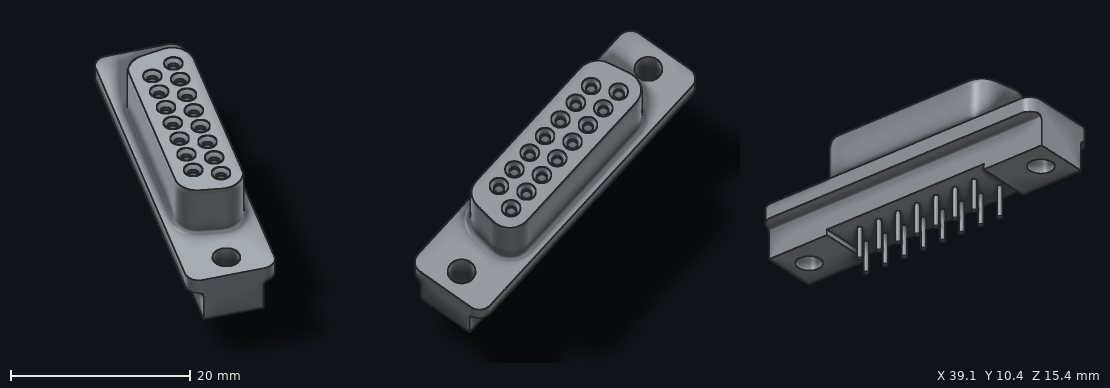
import cadquery as cq
import math

FLANGE_LENGTH = 39.14
FLANGE_WIDTH = 10.41
FLANGE_THICKNESS = 1.9
FLANGE_CORNER_RADIUS = 1.6
MOUNT_HOLE_SPACING = 33.3
MOUNT_HOLE_DIAMETER = 3.1

BODY_WIDTH = 7.0
BODY_BOTTOM = -5.9
BODY_FILLET = 0.7
NOTCH_LENGTH = 22.5
NOTCH_DEPTH = 0.72

SHELL_WIDTH = 7.9
SHELL_TOP_LENGTH = 25.7
SHELL_HEIGHT = 6.25
SHELL_SIDE_ANGLE = 10
SHELL_CORNER_RADIUS = 2.65
SHELL_BASE_FILLET = 0.75
SHELL_RIM_HEIGHT = 0.5
SHELL_RIM_INSET = 0.13

CONTACT_PITCH = 2.74
ROW_SPACING = 2.84
CONTACT_ROWS = ((8, ROW_SPACING / 2), (7, -ROW_SPACING / 2))
SOCKET_MOUTH_DIAMETER = 2.1
SOCKET_DIAMETER = 1.2
SOCKET_LIP_DEPTH = 0.1
SOCKET_CONE_DEPTH = 0.45
SOCKET_DEPTH = 1.0
PIN_DIAMETER = 0.6
PIN_BOTTOM = -9.15

body_top = -FLANGE_THICKNESS


def contact_points():
    """Return the centres of all contacts in the XY plane."""
    points = []
    for count, y in CONTACT_ROWS:
        for index in range(count):
            x = (index - (count - 1) / 2) * CONTACT_PITCH
            points.append((x, y))
    return points


def rounded_plate(thickness):
    """Plate with the rounded flange outline, reaching down from z = 0."""
    return (
        cq.Workplane("XY")
        .rect(FLANGE_LENGTH, FLANGE_WIDTH)
        .extrude(-thickness)
        .edges("|Z")
        .fillet(FLANGE_CORNER_RADIUS)
    )


def make_body():
    """Block with concave fillets to the flange and a notch through its underside."""
    half_width = BODY_WIDTH / 2
    fillet_bottom = body_top - BODY_FILLET
    fillet_edge = half_width + BODY_FILLET
    arc_offset = BODY_FILLET * (1 - math.sqrt(0.5))
    arc_y = half_width + arc_offset
    arc_z = body_top - arc_offset
    block = (
        cq.Workplane("YZ")
        .moveTo(-half_width, BODY_BOTTOM)
        .lineTo(half_width, BODY_BOTTOM)
        .lineTo(half_width, fillet_bottom)
        .threePointArc((arc_y, arc_z), (fillet_edge, body_top))
        .lineTo(fillet_edge, 0)
        .lineTo(-fillet_edge, 0)
        .lineTo(-fillet_edge, body_top)
        .threePointArc((-arc_y, arc_z), (-half_width, fillet_bottom))
        .close()
        .extrude(FLANGE_LENGTH / 2, both=True)
    )
    envelope = rounded_plate(-BODY_BOTTOM)
    notch = (
        cq.Workplane("XY")
        .workplane(offset=BODY_BOTTOM)
        .rect(NOTCH_LENGTH, FLANGE_WIDTH)
        .extrude(NOTCH_DEPTH)
    )
    return block.intersect(envelope).cut(notch)


def make_shell():
    """D-shaped shell with a narrow bevel around its top rim."""
    half_width = SHELL_WIDTH / 2
    half_long = SHELL_TOP_LENGTH / 2
    half_short = half_long - SHELL_WIDTH * math.tan(math.radians(SHELL_SIDE_ANGLE))
    corners = [
        (-half_long, half_width),
        (half_long, half_width),
        (half_short, -half_width),
        (-half_short, -half_width),
    ]
    return (
        cq.Workplane("XY")
        .polyline(corners)
        .close()
        .extrude(SHELL_HEIGHT)
        .edges("|Z")
        .fillet(SHELL_CORNER_RADIUS)
        .faces(">Z")
        .chamfer(SHELL_RIM_HEIGHT, SHELL_RIM_INSET)
    )


def blend_shell_base(part):
    """Round the inside corner where the shell meets the flange top."""
    reach_x = SHELL_TOP_LENGTH / 2
    margin = 0.1
    reach_y = SHELL_WIDTH / 2 + margin
    base_box = cq.selectors.BoxSelector(
        (-reach_x, -reach_y, -margin),
        (reach_x, reach_y, margin),
    )
    return part.edges(base_box).fillet(SHELL_BASE_FILLET)


def cut_mount_holes(part):
    """Cut one hole at each end, through the flange and the body."""
    half_spacing = MOUNT_HOLE_SPACING / 2
    holes = (
        cq.Workplane("XY")
        .pushPoints([(-half_spacing, 0), (half_spacing, 0)])
        .circle(MOUNT_HOLE_DIAMETER / 2)
        .extrude(BODY_BOTTOM)
    )
    return part.cut(holes)


def cut_sockets(part):
    """Cut a blind hole at every contact, with a short lip and a conical lead-in."""
    mouth_radius = SOCKET_MOUTH_DIAMETER / 2
    bore_radius = SOCKET_DIAMETER / 2
    cone_top = SHELL_HEIGHT - SOCKET_LIP_DEPTH
    cone_bottom = cone_top - SOCKET_CONE_DEPTH
    socket_floor = SHELL_HEIGHT - SOCKET_DEPTH
    socket = (
        cq.Workplane("XZ")
        .moveTo(0, SHELL_HEIGHT)
        .lineTo(mouth_radius, SHELL_HEIGHT)
        .lineTo(mouth_radius, cone_top)
        .lineTo(bore_radius, cone_bottom)
        .lineTo(bore_radius, socket_floor)
        .lineTo(0, socket_floor)
        .close()
        .revolve(360, (0, 0), (0, 1))
    )
    for x, y in contact_points():
        part = part.cut(socket.translate((x, y, 0)))
    return part


def make_pins():
    """Round pins below every contact, rooted inside the body."""
    return (
        cq.Workplane("XY")
        .workplane(offset=PIN_BOTTOM)
        .pushPoints(contact_points())
        .circle(PIN_DIAMETER / 2)
        .extrude(body_top - PIN_BOTTOM)
    )


housing = rounded_plate(FLANGE_THICKNESS).union(make_body()).union(make_shell())
housing = blend_shell_base(housing)
housing = cut_mount_holes(housing)
housing = cut_sockets(housing)
result = housing.union(make_pins())